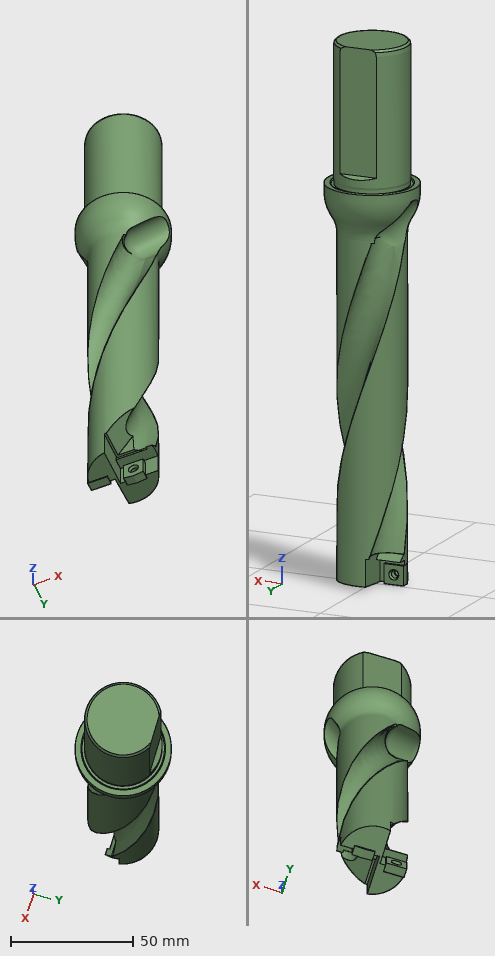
import cadquery as cq
total_length = 231.0
cut_radius = 29.0 / 2
shank_radius = 31.9 / 2
collar_radius = 39.5 / 2
body_bottom = 1.2

end_face_radius = 14.8
end_chamfer_height = 1.0
lead_in_radius = 15.7
lead_in_height = 2.8
collar_top = 170.5
collar_edge_bottom = 166.8
neck_top = 149.5
convex_share = 0.6

relief_inner_radius = 31.5 / 2
relief_outer_radius = 34.6 / 2
relief_height = 1.8
relief_depth = 0.5

flat_offset = 13.6
flat_bottom = 176.7
flat_ramp_height = 1.2

pocket_top = 11.3
pocket_ramp = 2.8
pocket_lip = 3.5
center_floor = 2.5
center_wall = -2.3
outer_floor = -0.2
outer_wall = -3.5

throat_bottom = 12.7
throat_top = 32.8
throat_right = 11.5
throat_floor = -2.3

heel_start = 2.5
heel_rise = 1.2

flute_edge = (11.8, 8.3)
flute_seam = (8.5, 5.5)
flute_floor = 5.8
flute_lead = 262.5
flute_bottom = pocket_top + pocket_ramp
flute_top = 148.5
flute_start_angle = 144.5
flute_count = 2

run_out_radius = 7.5
run_out_start = 13.2
run_out_rise = 10.5
run_out_slope = 0.7
run_out_drift = 1.0

insert_width = 8.8
insert_height = 8.5
insert_bottom = 0.7
insert_thickness = 4.0
insert_hole = 3.2
insert_countersink = 4.5
countersink_depth = 1.2
screw_hole = 2.5
screw_hole_depth = 4.6
center_rake = 0.2
outer_rake = 1.0

insert_seats = [
    (0, center_rake, -1, 0),
    (-cut_radius, outer_rake, 1, insert_bottom),
]

beyond = 2 * collar_radius
z_axis = ((0, 0, 0), (0, 0, 1))


def turned_blank():
    """Shank, collar, neck and cutting length as one turned shape."""
    drop = collar_edge_bottom - neck_top
    step = collar_radius - cut_radius
    inflection = (
        collar_radius - convex_share * step,
        collar_edge_bottom - convex_share * drop,
    )
    return (
        cq.Workplane("XZ")
        .moveTo(0, body_bottom)
        .lineTo(cut_radius, body_bottom)
        .lineTo(cut_radius, neck_top)
        .tangentArcPoint(inflection, relative=False)
        .tangentArcPoint((collar_radius, collar_edge_bottom), relative=False)
        .lineTo(collar_radius, collar_top)
        .lineTo(relief_outer_radius, collar_top)
        .lineTo(relief_outer_radius - relief_depth, collar_top - relief_depth)
        .lineTo(relief_inner_radius, collar_top - relief_depth)
        .lineTo(relief_inner_radius, collar_top + relief_height / 2)
        .lineTo(shank_radius, collar_top + relief_height)
        .lineTo(shank_radius, total_length - lead_in_height)
        .lineTo(lead_in_radius, total_length - end_chamfer_height)
        .lineTo(end_face_radius, total_length)
        .lineTo(0, total_length)
        .close()
        .revolve(360, (0, 0), (0, 1))
    )


def flat_cut():
    """Flat with a sloped lower end, cut across the shank."""
    return (
        cq.Workplane("YZ")
        .moveTo(flat_offset, total_length)
        .lineTo(flat_offset, flat_bottom)
        .lineTo(shank_radius, flat_bottom - flat_ramp_height)
        .lineTo(collar_radius, flat_bottom - flat_ramp_height)
        .lineTo(collar_radius, total_length)
        .close()
        .extrude(shank_radius, both=True)
    )


def flute(start_angle):
    """Helical groove and its run-out, starting in the given direction."""
    height = flute_top - flute_bottom
    turn = 360 * height / flute_lead
    groove = (
        cq.Workplane("XY", origin=(0, 0, flute_bottom))
        .moveTo(*flute_seam)
        .lineTo(*flute_edge)
        .lineTo(beyond, flute_edge[1])
        .lineTo(beyond, -flute_edge[1])
        .lineTo(flute_edge[0], -flute_edge[1])
        .threePointArc((flute_floor, 0), flute_seam)
        .close()
        .twistExtrude(height, turn)
    )
    start = cq.Vector(run_out_start, 0, flute_top)
    path = cq.Vector(run_out_slope, run_out_drift, 1) * run_out_rise
    run_out = cq.Workplane(cq.Solid.makeCylinder(run_out_radius, path.Length, start, path))
    for ball_center in (start, start + path):
        ball = cq.Workplane("XY").sphere(run_out_radius).translate(ball_center)
        run_out = run_out.union(ball)
    return groove.rotate(*z_axis, start_angle), run_out.rotate(*z_axis, start_angle + turn)


def pocket(wall, floor, side):
    """Chip pocket open to -Y (side -1) or +Y (side +1), with a sloped step above it."""
    return (
        cq.Workplane("YZ", origin=(wall, 0, 0))
        .moveTo(floor, 0)
        .lineTo(floor, pocket_top)
        .lineTo(side * pocket_lip, pocket_top)
        .lineTo(side * (pocket_lip - pocket_ramp), pocket_top + pocket_ramp)
        .lineTo(side * beyond, pocket_top + pocket_ramp)
        .lineTo(side * beyond, 0)
        .close()
        .extrude(-side * beyond)
    )


def throat():
    """Sloped wall that leads the flute into the central chip pocket."""
    return (
        cq.Workplane("XZ", origin=(0, throat_floor, 0))
        .moveTo(center_wall, pocket_top)
        .lineTo(center_wall, throat_bottom)
        .lineTo(throat_right, throat_top)
        .lineTo(throat_right, pocket_top)
        .close()
        .extrude(beyond)
    )


def heel_cut():
    """Slanted underside of the +Y half, rising towards the rim."""
    return (
        cq.Workplane("YZ")
        .moveTo(heel_start, body_bottom)
        .lineTo(cut_radius, body_bottom + heel_rise)
        .lineTo(cut_radius, 0)
        .lineTo(heel_start, 0)
        .close()
        .extrude(cut_radius, both=True)
    )


def insert_blank(left, rake, side, tip):
    """Plate whose rake face looks to -Y (side -1) or +Y (side +1)."""
    top = insert_bottom + insert_height
    return (
        cq.Workplane("XZ", origin=(0, rake, 0))
        .moveTo(left, insert_bottom)
        .lineTo(left + insert_width / 2, tip)
        .lineTo(left + insert_width, insert_bottom)
        .lineTo(left + insert_width, top)
        .lineTo(left, top)
        .close()
        .extrude(side * insert_thickness)
    )


def bore(left, rake, side, diameter, depth):
    """Round cutter on the screw axis, from the rake face into the insert and body."""
    return (
        cq.Workplane("XZ", origin=(0, rake, 0))
        .center(left + insert_width / 2, insert_bottom + insert_height / 2)
        .circle(diameter / 2)
        .extrude(side * depth)
    )


def countersink(left, rake, side):
    """Cone that widens the insert hole at its rake face."""
    return cq.Workplane(
        cq.Solid.makeCone(
            insert_countersink / 2,
            insert_hole / 2,
            countersink_depth,
            cq.Vector(left + insert_width / 2, rake, insert_bottom + insert_height / 2),
            cq.Vector(0, -side, 0),
        )
    )


def cutting_insert(left, rake, side, tip):
    """Insert with a countersunk hole for its screw."""
    hole = bore(left, rake, side, insert_hole, insert_thickness)
    return insert_blank(left, rake, side, tip).cut(hole).cut(countersink(left, rake, side))


def drill_body():
    """Turned blank with its flat, flutes, chip pockets and insert seats."""
    body = turned_blank().cut(flat_cut())
    for index in range(flute_count):
        for cutter in flute(flute_start_angle + index * 360 / flute_count):
            body = body.cut(cutter)
    body = body.cut(pocket(center_wall, center_floor, -1))
    body = body.cut(pocket(outer_wall, outer_floor, 1))
    body = body.cut(throat()).cut(heel_cut())
    for seat in insert_seats:
        body = body.cut(insert_blank(*seat))
        left, rake, side, _ = seat
        body = body.cut(bore(left, rake, side, screw_hole, insert_thickness + screw_hole_depth))
    return body


body = drill_body()
inserts = [cutting_insert(*seat) for seat in insert_seats]

result = cq.Compound.makeCompound([body.val(), *[insert.val() for insert in inserts]])